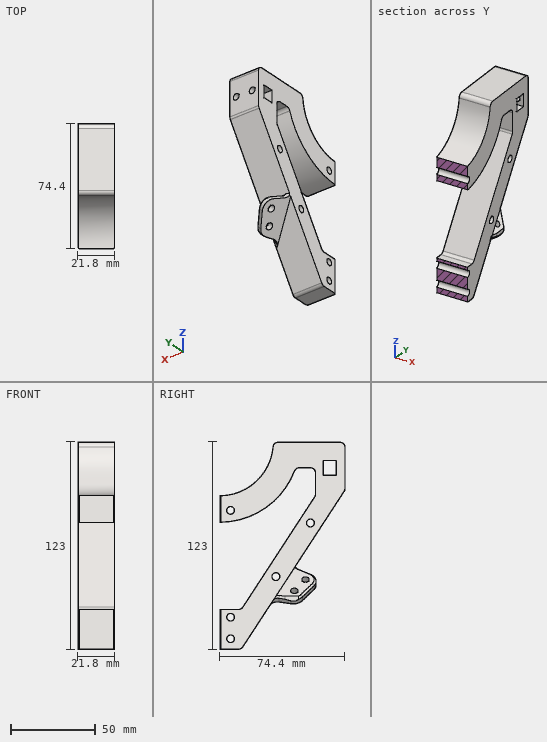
import cadquery as cq
import math

WIDTH = 21.8
DEPTH = 74.4
HEIGHT = 123.0
CORNER_RADIUS = 3.0
MARGIN = 1.2
END_CHAMFER = 0.7

ARM_INNER_RADIUS = 31.7
ARM_OUTER_RADIUS = 47.6

BAY_BACK_Y = 56.8
BAY_TOP_Z = 107.7
STRUT_SLOPE = 1.535
FOOT_LENGTH = 12.8
FOOT_HEIGHT = 23.7

END_HOLE_DIAMETER = 4.4
END_HOLE_Y = 6.4
END_HOLES = [(END_HOLE_Y, 6.3), (END_HOLE_Y, 19.0), (END_HOLE_Y, 82.5)]
STRUT_HOLE_DIAMETER = 4.5
STRUT_HOLES = [(33.3, 43.2), (53.9, 75.0)]

WINDOW_DEPTH = 7.6
WINDOW_HEIGHT = 8.7
WINDOW_Y = 65.3
WINDOW_Z = 107.7
BACK_HOLE_DIAMETER = 4.4
BACK_HOLE_SPACING = 12.0

TAB_THICKNESS = 4.4
TAB_EDGE_CHAMFER = 1.2
TAB_MIDDLE_Z = 36.2
TAB_OUTER_RADIUS = 6.6
TAB_ROOT_RADIUS = 4.9
TAB_HOLE_DIAMETER = 4.4
TAB_HOLES = [(50.9, 3.1), (44.3, -6.4)]
TAB_UPPER_CORNER = (60.4, 4.9)
TAB_LOWER_CORNER = (46.5, -13.8)
TAB_UPPER_SLOPE = -0.575
TAB_LOWER_SLOPE = -0.2
TAB_ROOT_EXTENSION = 7.4
TAB_ROOT_EMBED = 3.7


def side_prism(sketch):
    """Extrude a YZ outline across the full width."""
    return sketch.extrude(WIDTH)


def make_body():
    back_bend_z = (DEPTH - FOOT_LENGTH) * STRUT_SLOPE
    bay_bend_z = FOOT_HEIGHT + (BAY_BACK_Y - FOOT_LENGTH) * STRUT_SLOPE
    arm_drop = HEIGHT - BAY_TOP_Z
    arm_bay_y = math.sqrt(ARM_OUTER_RADIUS**2 - arm_drop**2)
    middle = math.sqrt(0.5)
    bay_half_angle = math.asin(arm_drop / ARM_OUTER_RADIUS) / 2 + math.pi / 4
    outer_middle = (
        ARM_OUTER_RADIUS * math.cos(bay_half_angle),
        HEIGHT - ARM_OUTER_RADIUS * math.sin(bay_half_angle),
    )
    inner_middle = (ARM_INNER_RADIUS * middle, HEIGHT - ARM_INNER_RADIUS * middle)
    body = side_prism(
        cq.Workplane("YZ")
        .moveTo(0, 0)
        .lineTo(FOOT_LENGTH, 0)
        .lineTo(DEPTH, back_bend_z)
        .lineTo(DEPTH, HEIGHT)
        .lineTo(ARM_INNER_RADIUS, HEIGHT)
        .threePointArc(inner_middle, (0, HEIGHT - ARM_INNER_RADIUS))
        .lineTo(0, HEIGHT - ARM_OUTER_RADIUS)
        .threePointArc(outer_middle, (arm_bay_y, BAY_TOP_Z))
        .lineTo(BAY_BACK_Y, BAY_TOP_Z)
        .lineTo(BAY_BACK_Y, bay_bend_z)
        .lineTo(FOOT_LENGTH, FOOT_HEIGHT)
        .lineTo(0, FOOT_HEIGHT)
        .close()
    )
    bends = cq.selectors.BoxSelector(
        (-MARGIN, MARGIN, -MARGIN),
        (WIDTH + MARGIN, DEPTH + MARGIN, HEIGHT + MARGIN),
    )
    body = body.edges("|X").edges(bends).fillet(CORNER_RADIUS)
    return body.faces("<Y").edges("|Z").chamfer(END_CHAMFER)


def cross_holes(places, diameter):
    return side_prism(cq.Workplane("YZ").pushPoints(places).circle(diameter / 2))


def make_window():
    return side_prism(cq.Workplane("YZ").center(WINDOW_Y, WINDOW_Z).rect(WINDOW_DEPTH, WINDOW_HEIGHT))


def make_back_holes():
    return (
        cq.Workplane("XZ", origin=(WIDTH / 2, DEPTH, WINDOW_Z))
        .rarray(BACK_HOLE_SPACING, 1.2, 2, 1)
        .circle(BACK_HOLE_DIAMETER / 2)
        .extrude(DEPTH - WINDOW_Y)
    )


def make_tab():
    lean = math.sqrt(2)
    plane = cq.Plane(origin=(WIDTH / 2, 0, TAB_MIDDLE_Z), xDir=(0, 1, 0), normal=(1, 0, 1))
    trace_start = FOOT_LENGTH + TAB_MIDDLE_Z / STRUT_SLOPE
    trace_slope = 1 / (lean * STRUT_SLOPE)

    def on_trace(up):
        return (trace_start + trace_slope * up, up)

    def root_height(corner, slope):
        """Height at which an edge running from a tab corner reaches the strut."""
        y, up = corner
        return (up + slope * (trace_start - y)) / (1 - slope * trace_slope)

    upper_up = root_height(TAB_UPPER_CORNER, TAB_UPPER_SLOPE)
    lower_up = root_height(TAB_LOWER_CORNER, TAB_LOWER_SLOPE)
    root_top = on_trace(upper_up + TAB_ROOT_EXTENSION)
    root_bottom = on_trace(lower_up - TAB_ROOT_EXTENSION)
    outline = [
        TAB_UPPER_CORNER,
        on_trace(upper_up),
        root_top,
        (root_top[0] - TAB_ROOT_EMBED, root_top[1]),
        (root_bottom[0] - TAB_ROOT_EMBED, root_bottom[1]),
        root_bottom,
        on_trace(lower_up),
        TAB_LOWER_CORNER,
    ]

    def round_corners(plate, corners, radius):
        for corner in corners:
            target = plane.toWorldCoords((*corner, TAB_THICKNESS / 2))
            plate = plate.edges(cq.selectors.NearestToPointSelector(target.toTuple())).fillet(radius)
        return plate

    plate = cq.Workplane(plane).polyline(outline).close().extrude(TAB_THICKNESS)
    plate = round_corners(plate, [TAB_UPPER_CORNER, TAB_LOWER_CORNER], TAB_OUTER_RADIUS)
    plate = round_corners(plate, [on_trace(upper_up), on_trace(lower_up)], TAB_ROOT_RADIUS)
    plate = plate.faces(cq.selectors.DirectionMinMaxSelector(plane.zDir, True)).chamfer(TAB_EDGE_CHAMFER)
    holes = cq.Workplane(plane).pushPoints(TAB_HOLES).circle(TAB_HOLE_DIAMETER / 2).extrude(TAB_THICKNESS)
    envelope = cq.Workplane("XY").box(WIDTH, DEPTH, HEIGHT, centered=False)
    return plate.cut(holes).intersect(envelope)


result = (
    make_body()
    .union(make_tab())
    .cut(cross_holes(END_HOLES, END_HOLE_DIAMETER))
    .cut(cross_holes(STRUT_HOLES, STRUT_HOLE_DIAMETER))
    .cut(make_window())
    .cut(make_back_holes())
)